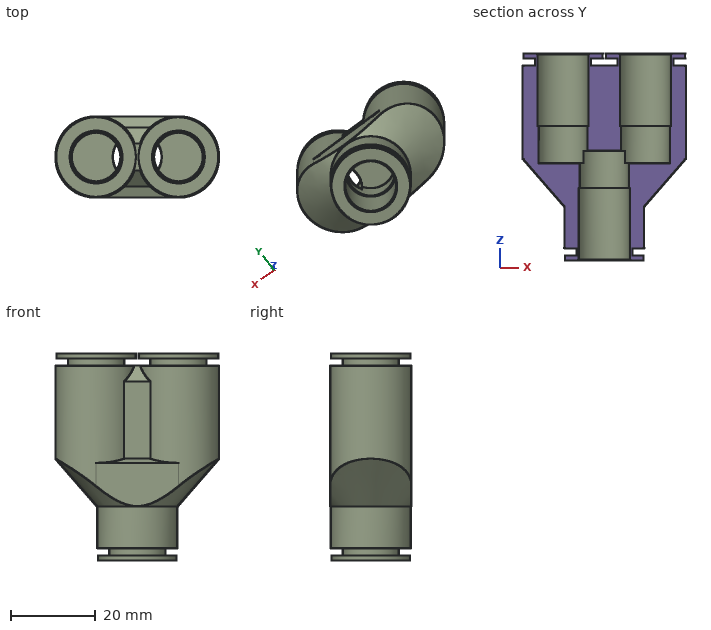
import cadquery as cq

total_height = 49.0
overall_width = 38.75
tube_diameter = 19.25
tube_radius = tube_diameter / 2
port_offset = overall_width / 2 - tube_radius

flange_thickness = 1.22
collar_height = 2.85
neck_diameter = 13.4
upper_flange_diameter = 18.85
lower_flange_diameter = 18.6
bore_diameter = 11.5
socket_diameter = 12.0
socket_depth = 17.15
mouth_diameter = 12.5
mouth_chamfer = (mouth_diameter - socket_diameter) / 2
bore_depth = 25.95

sleeve_diameter = 19.0
cone_bottom = 12.75
cone_top = 24.1
body_top = total_height - collar_height
rim_chamfer = 0.15

block_top = 23.15
web_bottom = cone_top
web_half_depth = 6.95
web_slope_drop = 3.75


def cylinder(diameter, bottom, height, x=0):
    return cq.Workplane("XY").workplane(offset=bottom).center(x, 0).circle(diameter / 2).extrude(height)


def upper_tube(x):
    return cylinder(tube_diameter, cone_bottom, body_top - cone_bottom, x).faces(">Z").chamfer(rim_chamfer)


def web():
    """Block and web in one piece, drawn as a profile in Y and Z and extruded between the tube axes."""
    half_profile = [
        (0, cone_bottom),
        (tube_radius, cone_bottom),
        (tube_radius, block_top),
        (web_half_depth, web_bottom),
        (web_half_depth, body_top - web_slope_drop),
        (web_half_depth - web_slope_drop, body_top),
        (0, body_top),
    ]
    half = cq.Workplane("YZ").polyline(half_profile).close().extrude(port_offset, both=True)
    return half.union(half.mirror("XZ"))


def cone_envelope():
    """Cone that trims the underside of the tubes and block, with a plain cylinder above it."""
    profile = [
        (0, cone_bottom),
        (sleeve_diameter / 2, cone_bottom),
        (overall_width / 2, cone_top),
        (overall_width / 2, body_top),
        (0, body_top),
    ]
    return cq.Workplane("XZ").polyline(profile).close().revolve(360, (0, 0), (0, 1))


def upper_collar(x):
    neck = cylinder(neck_diameter, body_top, collar_height, x)
    flange = cylinder(upper_flange_diameter, total_height - flange_thickness, flange_thickness, x)
    return neck.union(flange)


def lower_port():
    sleeve = cylinder(sleeve_diameter, collar_height, cone_bottom - collar_height)
    sleeve = sleeve.faces("<Z").chamfer(rim_chamfer)
    neck = cylinder(neck_diameter, 0, collar_height)
    flange = cylinder(lower_flange_diameter, 0, flange_thickness)
    return sleeve.union(neck).union(flange)


def port_bore(x, mouth_z, direction):
    """Blind bore below a wider socket with a chamfered mouth; direction is +1 to cut upward and -1 to cut downward."""
    profile = [
        (0, 0),
        (mouth_diameter / 2, 0),
        (socket_diameter / 2, direction * mouth_chamfer),
        (socket_diameter / 2, direction * socket_depth),
        (bore_diameter / 2, direction * socket_depth),
        (bore_diameter / 2, direction * bore_depth),
        (0, direction * bore_depth),
    ]
    bore = cq.Workplane("XZ").polyline(profile).close().revolve(360, (0, 0), (0, 1))
    return bore.translate((x, 0, mouth_z))


port_positions = (-port_offset, port_offset)

body = web()
for port_x in port_positions:
    body = body.union(upper_tube(port_x))
body = body.intersect(cone_envelope())

body = body.union(lower_port())
for port_x in port_positions:
    body = body.union(upper_collar(port_x))

body = body.cut(port_bore(0, 0, 1))
for port_x in port_positions:
    body = body.cut(port_bore(port_x, total_height, -1))

result = body